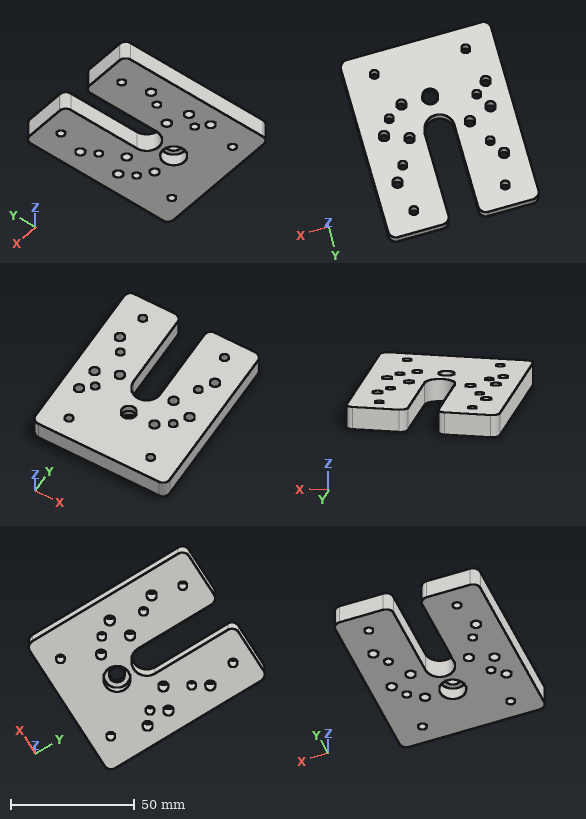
import cadquery as cq

width = 63.5
length = 76.2
thickness = 9.5
corner_radius = 3.2

slot_width = 12.5

small_diameter = 3.5
corner_hole_x = 19.3
corner_hole_y = 29.25
inner_hole_x = 18.45
inner_hole_y = 10.0

medium_diameter = 4.1
outer_hole_x = 22.5
outer_hole_upper_y = 16.4
outer_hole_lower_y = -3.65
slot_side_hole_x = 12.7

lower_row_y = -14.25
lower_pair_diameter = 4.05
lower_pair_left_x = -23.5
lower_pair_right_x = 12.1
large_diameter = 6.4
counterbore_diameter = 11.0
counterbore_depth = 6.0


def make_plate():
    """U-shaped plate with rounded outer corners and slot mouth."""
    half_width = width / 2
    half_length = length / 2
    half_slot = slot_width / 2
    plate = (
        cq.Workplane("XY")
        .moveTo(-half_width, -half_length)
        .lineTo(half_width, -half_length)
        .lineTo(half_width, half_length)
        .lineTo(half_slot, half_length)
        .lineTo(half_slot, 0)
        .threePointArc((0, -half_slot), (-half_slot, 0))
        .lineTo(-half_slot, half_length)
        .lineTo(-half_width, half_length)
        .close()
        .extrude(thickness)
    )
    return plate.edges("|Z and (>Y or <Y)").fillet(corner_radius)


def mirrored(x, *y_positions):
    """Points at +x and -x for each Y position."""
    return [(side * x, y) for y in y_positions for side in (-1, 1)]


def drill(plate, points, diameter, depth=thickness):
    """Cut a round hole upward from the underside at each point, through the plate by default."""
    cutters = cq.Workplane("XY").pushPoints(points).circle(diameter / 2).extrude(depth)
    return plate.cut(cutters)


small_holes = mirrored(corner_hole_x, corner_hole_y, -corner_hole_y)
small_holes += mirrored(inner_hole_x, inner_hole_y, -inner_hole_y)

medium_holes = mirrored(outer_hole_x, outer_hole_upper_y, outer_hole_lower_y)
medium_holes += mirrored(slot_side_hole_x, 0)

lower_pair = [(lower_pair_left_x, lower_row_y), (lower_pair_right_x, lower_row_y)]
large_hole = [(0, lower_row_y)]

result = make_plate()
result = drill(result, small_holes, small_diameter)
result = drill(result, medium_holes, medium_diameter)
result = drill(result, lower_pair, lower_pair_diameter)
result = drill(result, large_hole, large_diameter)
result = drill(result, large_hole, counterbore_diameter, counterbore_depth)